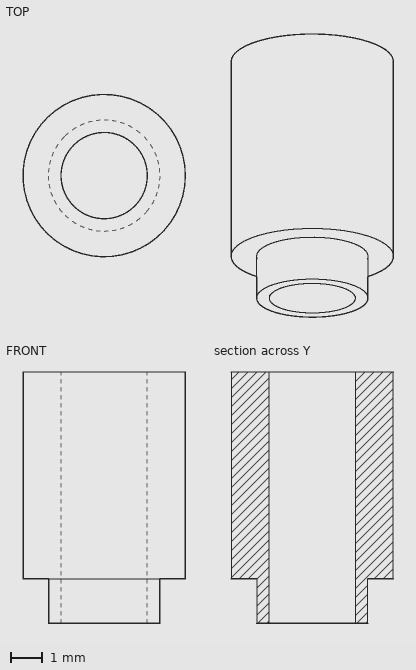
import cadquery as cq

total_height = 7.9
body_diameter = 5.1
spigot_diameter = 3.5
bore_diameter = 2.7
spigot_height = 1.4

body_height = total_height - spigot_height

spigot = cq.Workplane("XY").circle(spigot_diameter / 2).extrude(spigot_height)

sleeve = spigot.faces(">Z").workplane().circle(body_diameter / 2).extrude(body_height)

result = sleeve.faces(">Z").workplane().circle(bore_diameter / 2).cutThruAll()